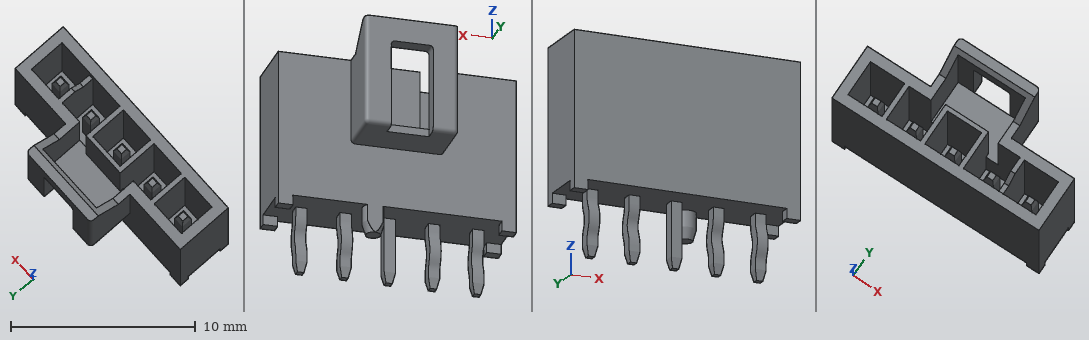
import math

import cadquery as cq


housing_length = 13.44
housing_depth = 3.48
housing_top = 9.05
foot_length = 0.82
foot_depth = 0.59
foot_height = 0.58

pocket_count = 5
pitch = 2.5
pocket_size = 2.21
pocket_floor = 2.05

pin_width = 0.65
tip_width = 0.37
tip_length = 0.59
pin_top = 6.3
pin_bottom = -3.21

wave_middle = -1.1
wave_radius = 1.33
wave_angle = math.radians(25.6)
wave_sides = [-1, 1, 0, 1, -1]

latch_width = 5.24
latch_reach = 2.85
latch_rise = 1.45
latch_bottom = 4.09
latch_crest = 0.56
latch_side_wall = 0.44
latch_floor_thickness = 0.44
latch_back_wall = 0.82
latch_rounding = 0.25
window_width = 2.36
window_rise = 0.1
window_rounding = 0.22
centre_pocket_back_wall = 0.25

notch_start = 0.19
notch_drop = 0.62

peg_radius = 0.6
peg_tip_radius = 0.41
peg_bottom = -1.01
peg_taper_top = -0.38
peg_y = 1.32

back = housing_depth / 2
latch_back = back + latch_reach
pocket_half = pocket_size / 2
pocket_wall = pitch - pocket_size
pin_half = pin_width / 2
shank_top = pin_top - tip_length
shank_bottom = pin_bottom + tip_length
arc_height = wave_radius * math.sin(wave_angle)
wave_top = wave_middle + 2 * arc_height
wave_bottom = wave_middle - 2 * arc_height
pin_positions = [(i - (pocket_count - 1) / 2) * pitch for i in range(pocket_count)]


def block(x_range, y_range, z_range):
    """Box between the given limits on each axis."""
    (x0, x1), (y0, y1), (z0, z1) = x_range, y_range, z_range
    return cq.Workplane("XY").box(x1 - x0, y1 - y0, z1 - z0, centered=False).translate((x0, y0, z0))


def centred_block(width, y_range, z_range):
    """Box centred on X = 0."""
    return block((-width / 2, width / 2), y_range, z_range)


def make_housing():
    """Plain body standing on four corner feet."""
    body = centred_block(housing_length, (-back, back), (0, housing_top))
    gap_along_x = centred_block(housing_length - 2 * foot_length, (-back, back), (0, foot_height))
    gap_half = back - foot_depth
    gap_along_y = centred_block(housing_length, (-gap_half, gap_half), (0, foot_height))
    return body.cut(gap_along_x).cut(gap_along_y)


def make_latch():
    """Hood behind the housing, with a 45 degree slope from its crest down to the housing top."""
    crest_height = housing_top + latch_rise
    crest_front = latch_back - latch_crest
    profile = [
        (back, latch_bottom),
        (latch_back, latch_bottom),
        (latch_back, crest_height),
        (crest_front, crest_height),
        (crest_front - latch_rise, housing_top),
        (back, housing_top),
    ]
    hood = cq.Workplane("YZ").polyline(profile).close().extrude(latch_width / 2, both=True)
    return hood.edges("(|Z and >Y) or (|Y and <Z) or (>Y and <Z)").fillet(latch_rounding)


def make_latch_recess():
    """Space inside the hood that opens through the housing's back wall, and its window.

    The walls of the centre pocket stand free in the recess. The window is a slot through the
    hood's back wall, open at the bottom.
    """
    floor = latch_bottom + latch_floor_thickness
    recess_back = latch_back - latch_back_wall
    recess = centred_block(
        latch_width - 2 * latch_side_wall, (pocket_half, recess_back), (floor, housing_top + latch_rise)
    )
    surround_back = pocket_half + centre_pocket_back_wall
    surround = centred_block(
        pocket_size + 2 * pocket_wall, (-pocket_half, surround_back), (floor, housing_top)
    )
    window_top = housing_top + window_rise
    window = centred_block(window_width, (recess_back, latch_back), (latch_bottom, window_top))
    window = window.edges("|Y and >Z").fillet(window_rounding)
    return recess.cut(surround).union(window)


def make_pocket(x):
    """Square pocket around one contact."""
    return block(
        (x - pocket_half, x + pocket_half), (-pocket_half, pocket_half), (pocket_floor, housing_top)
    )


def make_notch():
    """Cut that lowers the front of the last pocket wall, entered by a 45 degree slope."""
    wall_start = pin_positions[-2] + pocket_half
    notch_bottom = housing_top - notch_drop
    profile = [
        (notch_start, housing_top),
        (notch_start - notch_drop, notch_bottom),
        (-pocket_half, notch_bottom),
        (-pocket_half, housing_top),
    ]
    return cq.Workplane("YZ").workplane(offset=wall_start).polyline(profile).close().extrude(pocket_wall)


def wave_edge(side, offset):
    """Points down one long edge of a bowed contact, ends of the arcs alternating with points on them.

    The edge runs at a fixed offset from the centreline, positive towards the bulge.
    """
    end_centre = wave_radius
    end_radius = wave_radius - offset
    bow_centre = wave_radius - 2 * wave_radius * math.cos(wave_angle)
    bow_radius = wave_radius + offset
    mid_y = end_centre - end_radius * math.cos(wave_angle / 2)
    mid_drop = end_radius * math.sin(wave_angle / 2)
    joint_y = end_centre - end_radius * math.cos(wave_angle)
    joint_drop = end_radius * math.sin(wave_angle)
    return [
        (side * offset, wave_top),
        (side * mid_y, wave_top - mid_drop),
        (side * joint_y, wave_top - joint_drop),
        (side * (bow_centre + bow_radius), wave_middle),
        (side * joint_y, wave_bottom + joint_drop),
        (side * mid_y, wave_bottom + mid_drop),
        (side * offset, wave_bottom),
    ]


def draw_arcs(outline, points):
    """Continue an outline through successive arcs, starting from the first point."""
    for middle, end in zip(points[1::2], points[2::2]):
        outline = outline.threePointArc(middle, end)
    return outline


def make_wave(side):
    """Press-fit length of a contact, bowed to one side of its axis in the YZ plane."""
    outer = wave_edge(side, pin_half)
    inner = wave_edge(side, -pin_half)
    inner.reverse()
    outline = cq.Workplane("YZ").moveTo(*outer[0])
    outline = draw_arcs(outline, outer).lineTo(*inner[0])
    return draw_arcs(outline, inner).close().extrude(pin_half, both=True)


def make_tip(z_start, z_end):
    """Square taper at one end of a contact."""
    return (
        cq.Workplane("XY")
        .workplane(offset=z_start)
        .rect(pin_width, pin_width)
        .workplane(offset=z_end - z_start)
        .rect(tip_width, tip_width)
        .loft(ruled=True)
    )


def make_shank(z_start, z_end):
    """Straight square length of a contact."""
    return centred_block(pin_width, (-pin_half, pin_half), (z_start, z_end))


def make_pin(x, side):
    """Square contact with tapered ends, bowed where it presses into the board unless side is 0."""
    if side == 0:
        pin = make_shank(shank_bottom, shank_top)
    else:
        pin = make_shank(wave_top, shank_top)
        pin = pin.union(make_wave(side))
        pin = pin.union(make_shank(shank_bottom, wave_bottom))
    pin = pin.union(make_tip(shank_bottom, pin_bottom))
    pin = pin.union(make_tip(shank_top, pin_top))
    return pin.translate((x, 0, 0))


def make_peg():
    """Tapered peg between two contacts, trimmed flush with the housing's back face."""
    profile = [
        (0, peg_bottom),
        (peg_tip_radius, peg_bottom),
        (peg_radius, peg_taper_top),
        (peg_radius, foot_height),
        (0, foot_height),
    ]
    peg = cq.Workplane("XZ").polyline(profile).close().revolve()
    peg = peg.translate((pitch / 2, peg_y, 0))
    trim = centred_block(housing_length, (back, latch_back), (peg_bottom, foot_height))
    return peg.cut(trim)


result = make_housing().union(make_latch())
result = result.cut(make_latch_recess())
for x in pin_positions:
    result = result.cut(make_pocket(x))
result = result.cut(make_notch())
result = result.union(make_peg())
for x, side in zip(pin_positions, wave_sides):
    result = result.union(make_pin(x, side))